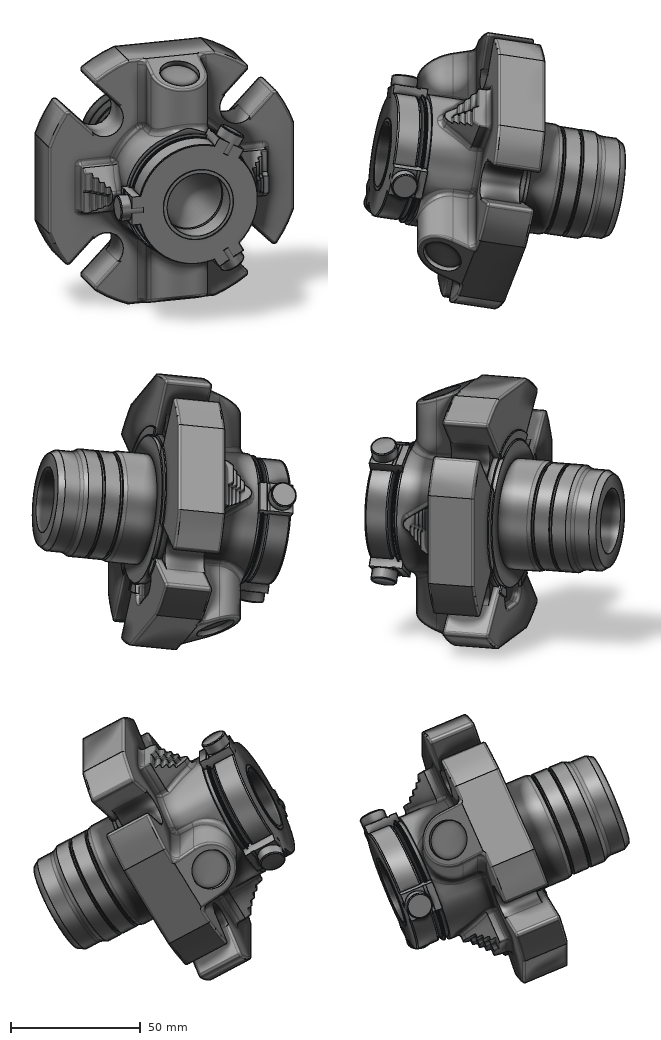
import cadquery as cq
import math

total_length = 92.0
bore_dia = 25.4

nose_dia = 39.0
nose_tip_dia = 36.1
nose_chamfer_end = 2.5
ramp_start = 8.3
ramp_mid = 9.8
ramp_mid_dia = 39.7
land_start = 11.5
land_dia = 41.6
land_chamfer_dia = 41.8
groove_starts = (17.0, 24.2)
groove_ends = (18.2, 25.4)
groove_ramp = 0.6
shank_start = 26.9
shank_dia = 42.8

collar_face = 38.6
collar_dia = 57.0
gap_dia = 58.0
shoulder_dia = 59.6
shoulder_face = 40.2
rim_face = 38.9
rim_dia = 65.0
rim_chamfer = 0.3
rim_end_gap = 0.3

wheel_front = 39.3
wheel_back = 57.95
wheel_size = 99.1
wheel_corner_dia = 105.0
wheel_edge_fillet = 0.9
lobe_corner_fillet = 1.4
slot_width = 14.3
slot_floor = 42.4
relief_dia = slot_width
relief_offset = 26.6

recess_width = 19.0
recess_bottom = 36.2
recess_corner = 4.5
recess_floor = slot_floor
recess_lip_fillet = 1.2
recess_floor_fillet = 0.8

hub_dia = 50.7
hub_end = 78.3
foot_fillet = 2.0
boss_foot_fillet = 2.8

boss_width = 22.2
boss_nose_x = 77.8
boss_end_height = 42.1
boss_edge_fillet = 1.0
boss_hole_dia = 15.4
boss_hole_x = 68.2
boss_hole_depth = 2.2

grip_half_width = 9.3
grip_taper_start = 62.4
grip_apex_x = 76.7
grip_nose_radius = 2.6
grip_reach = 37.1
grip_rim_fillet = 0.5
grip_step_fillet = 0.4
grip_nose_x = 74.3
grip_riser_first = 64.9
grip_riser_pitch = 2.1
grip_tread_first = 34.4
grip_tread_pitch = 1.8
grip_step_count = 4
grip_half_shift = 1.9
grip_shift_half_height = 0.6

gland_dia = 47.9
gland_end = 81.0
circlip_groove_dia = 47.0
circlip_groove_start = 79.6
circlip_groove_end = 80.8
circlip_dia = 49.7
circlip_start = 80.0
circlip_end = 80.4
sleeve_dia = 25.8
clamp_start = 82.4
clamp_end = 91.6
clamp_dia = 48.1
clamp_edge_length = 0.6
clamp_edge_drop = 0.2
sleeve_end_dia = 28.2

lug_count = 3
lug_first_angle = 180.0
lug_width = 11.4
lug_start = 78.4
lug_inner = 22.2
lug_outer = 26.8
lug_notch_start = 81.2
lug_notch_depth = 0.3
screw_dia = 10.0
screw_x = total_length - 0.3 - screw_dia / 2
screw_top = 31.1
screw_chamfer = 0.4


relief_radius = relief_offset * math.sqrt(2)
wheel_middle = (wheel_front + wheel_back) / 2
slot_angles = (45, 135, 225, 315)
tolerance = 0.01
grip_half_angle = math.asin(grip_nose_radius / (grip_apex_x - grip_nose_x + grip_nose_radius))


def disc(start, end, diameter):
    """Cylinder on the X axis between two positions."""
    return cq.Workplane("YZ").workplane(offset=start).circle(diameter / 2).extrude(end - start)


def turn(profile):
    """Solid of revolution about X from (x, diameter) points; closed along the axis."""
    points = [(x, diameter / 2) for x, diameter in profile]
    points = [(points[0][0], 0)] + points + [(points[-1][0], 0)]
    return cq.Workplane("XY").polyline(points).close().revolve(360, (0, 0, 0), (1, 0, 0))


def around_x(body, angle):
    return body.rotate((0, 0, 0), (1, 0, 0), angle)


def make_spigot():
    profile = [
        (0, nose_tip_dia),
        (nose_chamfer_end, nose_dia),
        (ramp_start, nose_dia),
        (ramp_mid, ramp_mid_dia),
        (land_start, land_dia),
    ]
    for start, end in zip(groove_starts, groove_ends):
        next_dia = land_dia if end < groove_ends[-1] else land_chamfer_dia
        profile += [
            (start, land_dia),
            (start, nose_dia),
            (end - groove_ramp, nose_dia),
            (end, ramp_mid_dia),
            (end, next_dia),
        ]
    profile += [
        (shank_start, shank_dia),
        (collar_face, shank_dia),
        (collar_face, collar_dia),
        (shoulder_face, collar_dia),
        (shoulder_face, shoulder_dia),
        (wheel_middle, shoulder_dia),
    ]
    return turn(profile)


def slot_cutter(start, end, inner_radius, width):
    """Four diagonal slots, open outwards, between two axial positions."""
    cutter = cq.Workplane("YZ")
    for angle in slot_angles:
        slot = (
            cq.Workplane("YZ")
            .workplane(offset=start)
            .center(inner_radius + wheel_size / 2, 0)
            .rect(wheel_size, width)
            .extrude(end - start)
        )
        cutter = cutter.add(around_x(slot, angle))
    return cutter.combine()


def make_wheel():
    wheel = (
        cq.Workplane("YZ")
        .workplane(offset=wheel_front)
        .rect(wheel_size, wheel_size)
        .extrude(wheel_back - wheel_front)
        .intersect(disc(wheel_front, wheel_back, wheel_corner_dia))
        .cut(slot_cutter(wheel_front, wheel_back, relief_radius, slot_width))
    )

    tip_across = slot_width / 2
    tip_out = math.sqrt((wheel_corner_dia / 2) ** 2 - tip_across**2)
    for angle in slot_angles:
        for side in (-tip_across, tip_across):
            turned = math.radians(angle)
            y = tip_out * math.cos(turned) - side * math.sin(turned)
            z = tip_out * math.sin(turned) + side * math.cos(turned)
            tip = cq.selectors.NearestToPointSelector((wheel_middle, y, z))
            wheel = wheel.edges("|X").edges(tip).fillet(lobe_corner_fillet)
    wheel = wheel.faces(">X").edges().fillet(wheel_edge_fillet)

    wheel = wheel.cut(slot_cutter(wheel_front, slot_floor, 0, slot_width))
    wheel = wheel.faces("<X").edges().fillet(wheel_edge_fillet)
    wheel = wheel.cut(disc(wheel_front, slot_floor, gap_dia))

    wheel = wheel.cut(recess_cutter())
    lip = cq.selectors.BoxSelector(
        (wheel_front - 0.1, -recess_width / 2 - 0.1, -recess_bottom - 0.1),
        (wheel_front + 0.1, recess_width / 2 + 0.1, -gap_dia / 2),
    )
    return wheel.edges(lip).fillet(recess_lip_fillet)


def make_rim():
    """Low raised ring inside the lobes, interrupted by the slots."""
    rim = turn([(rim_face, rim_dia - 2 * rim_chamfer), (wheel_front, rim_dia), (shoulder_face, rim_dia)])
    rim = rim.cut(disc(rim_face, shoulder_face, gap_dia))
    rim = rim.cut(recess_cutter())
    return rim.cut(slot_cutter(rim_face, shoulder_face, 0, slot_width + 2 * rim_end_gap))


def recess_cutter():
    depth = recess_floor - rim_face
    pocket = (
        cq.Workplane("YZ")
        .workplane(offset=rim_face)
        .rect(recess_width, 2 * recess_bottom)
        .extrude(depth)
        .edges("|X")
        .fillet(recess_corner)
        .faces(">X")
        .edges()
        .fillet(recess_floor_fillet)
    )
    pocket = pocket.intersect(
        cq.Workplane("YZ").workplane(offset=rim_face).center(0, -wheel_size / 2)
        .rect(wheel_size, wheel_size).extrude(depth)
    )
    return pocket.cut(disc(rim_face, recess_floor, collar_dia))


def relief_cutter():
    """Four round notches through the wheel, at the inner ends of the slots."""
    return (
        cq.Workplane("YZ")
        .workplane(offset=wheel_front)
        .rect(2 * relief_offset, 2 * relief_offset, forConstruction=True)
        .vertices()
        .circle(relief_dia / 2)
        .extrude(wheel_back - wheel_front)
    )


def make_boss():
    """Upper boss: rounded in plan, with a sloping top and a shallow round hole square to it."""
    radius = boss_width / 2
    centre_x = boss_nose_x - radius
    top = wheel_size / 2
    boss = (
        cq.Workplane("XY")
        .moveTo(wheel_middle, -radius)
        .lineTo(centre_x, -radius)
        .threePointArc((boss_nose_x, 0), (centre_x, radius))
        .lineTo(wheel_middle, radius)
        .close()
        .extrude(top)
    )
    side_profile = (
        cq.Workplane("XZ")
        .moveTo(wheel_middle, 0)
        .lineTo(wheel_middle, top)
        .lineTo(wheel_back, top)
        .lineTo(2 * boss_nose_x - wheel_back, 2 * boss_end_height - top)
        .lineTo(2 * boss_nose_x - wheel_back, 0)
        .close()
        .extrude(radius, both=True)
    )
    boss = boss.intersect(side_profile)
    slope = math.atan2(top - boss_end_height, boss_nose_x - wheel_back)
    boss = boss.faces(">>Z[-2]").edges("not |Y").fillet(boss_edge_fillet)
    hole_z = top - (boss_hole_x - wheel_back) * math.tan(slope)
    top_plane = cq.Plane((boss_hole_x, 0, hole_z), (0, 1, 0), (math.sin(slope), 0, math.cos(slope)))
    hole = cq.Workplane(top_plane).circle(boss_hole_dia / 2).extrude(-boss_hole_depth)
    return boss.cut(hole)


def is_step_edge(edge):
    """True for the edges along a step of a grip."""
    start, end = edge.startPoint(), edge.endPoint()
    upright = abs(start.x - end.x) < tolerance and abs(start.y - end.y) < tolerance
    centre = edge.Center()
    staggered = abs(centre.z) < tolerance and abs(start.y - end.y) < tolerance
    return centre.x > grip_taper_start and (upright or staggered)


def make_grip():
    """Grip on the -Y side: a rounded triangle whose steps are staggered above and below centre."""
    nose_centre = grip_nose_x - grip_nose_radius
    tangent_x = nose_centre + grip_nose_radius * math.sin(grip_half_angle)
    tangent_z = grip_nose_radius * math.cos(grip_half_angle)
    grip = (
        cq.Workplane("XZ")
        .moveTo(wheel_middle, -grip_half_width)
        .lineTo(grip_taper_start, -grip_half_width)
        .lineTo(tangent_x, -tangent_z)
        .threePointArc((grip_nose_x, 0), (tangent_x, tangent_z))
        .lineTo(grip_taper_start, grip_half_width)
        .lineTo(wheel_middle, grip_half_width)
        .close()
        .extrude(grip_reach)
        .faces("<Y")
        .edges()
        .fillet(grip_rim_fillet)
    )
    for step in range(grip_step_count):
        riser = grip_riser_first + step * grip_riser_pitch
        tread = grip_tread_first - step * grip_tread_pitch
        cutter = (
            cq.Workplane("XZ", origin=(0, -tread, 0))
            .moveTo(riser, grip_half_width)
            .lineTo(riser, grip_shift_half_height)
            .lineTo(riser - grip_half_shift, -grip_shift_half_height)
            .lineTo(riser - grip_half_shift, -grip_half_width)
            .lineTo(grip_apex_x, -grip_half_width)
            .lineTo(grip_apex_x, grip_half_width)
            .close()
            .extrude(grip_reach)
        )
        grip = grip.cut(cutter)

    step_edges = [edge for edge in grip.edges("%LINE").vals() if is_step_edge(edge)]
    return grip.newObject(step_edges).fillet(grip_step_fillet)


def lies_on(edge, distance_from_surface):
    """True when the edge keeps to a surface, given a function of a point that is zero on it."""
    return all(abs(distance_from_surface(point)) < tolerance for point in edge.positions((0.1, 0.5, 0.9)))


def is_foot_edge(edge):
    """True where a boss, a grip or the hub itself stands on the hub or on the wheel."""
    on_hub = lies_on(edge, lambda point: math.hypot(point.y, point.z) - hub_dia / 2)
    on_wheel = lies_on(edge, lambda point: point.x - wheel_back)
    middle = edge.positionAt(0.5)
    at_boss = abs(abs(middle.y) - boss_width / 2) < tolerance
    at_grip = abs(middle.z) < grip_half_width + tolerance and abs(middle.y) < grip_reach + tolerance
    return (on_hub and middle.x < hub_end) or (on_wheel and (at_boss or at_grip))


def is_boss_foot(edge):
    """True for the foot edges that belong to a boss."""
    middle = edge.positionAt(0.5)
    within_boss = abs(middle.y) < boss_width / 2 + tolerance
    on_wheel_and_hub = middle.x < wheel_back + tolerance and abs(middle.y) < boss_width / 2 - tolerance
    return is_foot_edge(edge) and within_boss and not on_wheel_and_hub


def make_body():
    """Wheel, hub, bosses and grips as one casting with rounded feet."""
    overrun = hub_end + 4 * foot_fillet
    body = make_wheel().union(disc(slot_floor, overrun, hub_dia))
    for angle in (0, 180):
        body = body.union(around_x(make_boss(), angle)).union(around_x(make_grip(), angle))
    boss_feet = [edge for edge in body.edges().vals() if is_boss_foot(edge)]
    body = body.newObject(boss_feet).fillet(boss_foot_fillet)
    other_feet = [edge for edge in body.edges().vals() if is_foot_edge(edge) and not is_boss_foot(edge)]
    body = body.newObject(other_feet).fillet(foot_fillet)
    body = body.cut(disc(hub_end, overrun, hub_dia * 2))
    return body.union(make_rim()).union(make_spigot()).cut(recess_cutter()).cut(relief_cutter())


def make_seal_end():
    """Gland with its circlip, the sleeve and the clamp ring."""
    return turn([
        (wheel_middle, gland_dia),
        (circlip_groove_start, gland_dia),
        (circlip_groove_start, circlip_groove_dia),
        (circlip_start, circlip_groove_dia),
        (circlip_start, circlip_dia),
        (circlip_end, circlip_dia),
        (circlip_end, circlip_groove_dia),
        (circlip_groove_end, circlip_groove_dia),
        (circlip_groove_end, gland_dia),
        (gland_end, gland_dia),
        (gland_end, sleeve_dia),
        (clamp_start, sleeve_dia),
        (clamp_start, clamp_dia - 2 * clamp_edge_drop),
        (clamp_start + clamp_edge_length, clamp_dia),
        (clamp_end - clamp_edge_length, clamp_dia),
        (clamp_end, clamp_dia - 2 * clamp_edge_drop),
        (clamp_end, sleeve_end_dia),
        (total_length, sleeve_end_dia),
    ])


def make_lug():
    """Lug on the +Y side bridging gland and clamp ring, with the head of its set screw."""
    lug = (
        cq.Workplane("XY")
        .moveTo(lug_start, lug_inner)
        .lineTo(lug_start, lug_outer)
        .lineTo(lug_notch_start, lug_outer)
        .lineTo(lug_notch_start, lug_outer - lug_notch_depth)
        .lineTo(clamp_start, lug_outer - lug_notch_depth)
        .lineTo(clamp_start, lug_outer)
        .lineTo(clamp_end, lug_outer)
        .lineTo(clamp_end, lug_inner)
        .close()
        .extrude(lug_width / 2, both=True)
    )
    screw = (
        cq.Workplane("XZ", origin=(screw_x, 0, 0))
        .circle(screw_dia / 2)
        .extrude(-screw_top)
        .faces(">Y")
        .chamfer(screw_chamfer)
    )
    screw = screw.cut(disc(lug_start, total_length, 2 * lug_inner))
    return lug.union(screw)


result = make_body().union(make_seal_end())
for index in range(lug_count):
    result = result.union(around_x(make_lug(), lug_first_angle + index * 360 / lug_count))
result = result.cut(disc(0, total_length, bore_dia))